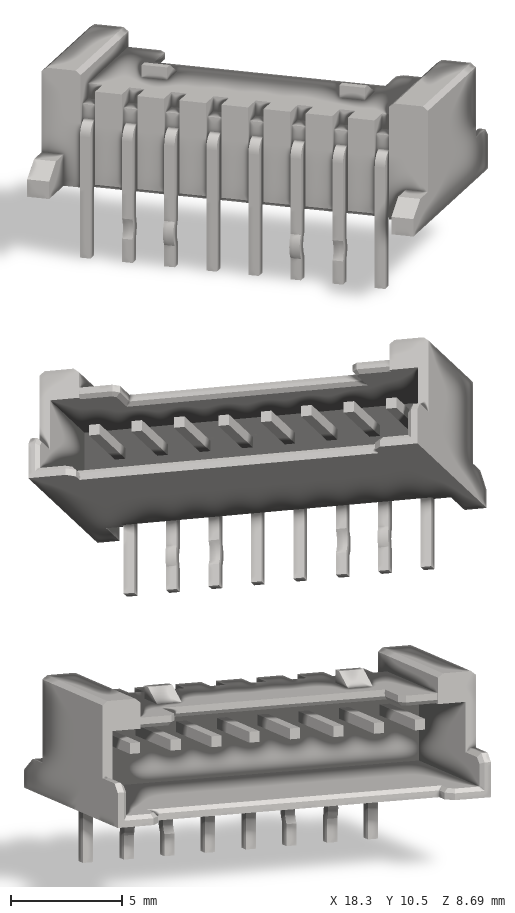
import cadquery as cq
import math


length = 18.3
roof_top = 4.6
roof_thickness = 0.5
cavity_top = roof_top - roof_thickness
floor_thickness = 0.5
wall = 0.5
rear_wall = 1.5
roof_depth = 6.7
roof_notch_half = 5.47
roof_notch_front = 4.96
roof_corner_chamfer = 0.27
mouth_chamfer = 0.18

tray_depth = 8.45
tray_mid_depth = 7.52
tray_tab_half = 7.03
tray_chamfer = 0.37
tray_wall_top = 1.98

post_width = 1.85
post_depth = 6.75
post_top = 5.49
post_chamfer_x = 0.24
post_chamfer_z = 0.18
leg_width = 1.05
leg_length = 2.05
leg_flat = 1.08
leg_top = 1.48
leg_tip_height = 0.82

latch_offset = 4.68
latch_width = 1.2
latch_rear = 2.62
latch_crest = 3.0
latch_front = 4.03
latch_top = 5.2

pin_count = 8
pitch = 2.0
pin = 0.5
pin_front = -0.31
pin_top = 3.2
pin_bottom = -3.2
bend_inner_radius = 0.18
long_tip = 5.44
short_tip = 5.12
short_pins = (3, 4)
outward_kinked_pins = (2, 5)
inward_kinked_pins = (1, 6)
kink_center = -1.63
outward_kink_length = 1.13
outward_kink_bow = 0.18
inward_kink_length = 0.95
inward_kink_bow = 0.11

slot_width = 0.73
slot_depth = 0.25
slot_window_depth = 1.06
slot_window_bottom = 3.88
rib_bottom = 0.2

half_length = length / 2
post_inner = half_length - post_width
cavity_half = half_length - wall
pin_positions = [(i - (pin_count - 1) / 2) * pitch for i in range(pin_count)]


def block(x0, x1, y0, y1, z0, z1):
    """Box given by its limits along each axis."""
    return cq.Workplane("XY").box(x1 - x0, y1 - y0, z1 - z0, centered=False).translate((x0, y0, z0))


def side_profile(points, x0, width):
    """Closed (Y, Z) outline extruded along +X from x0."""
    return cq.Workplane("YZ").polyline(points).close().extrude(width).translate((x0, 0, 0))


def on_both_ends(shape):
    """Shape joined with its mirror image across X = 0."""
    return shape.union(shape.mirror("YZ"))


def make_floor():
    """Tray floor with two forward tabs and a lead-in chamfer on its mating edge."""
    shoulder = tray_depth - tray_chamfer
    tab_corner = tray_tab_half + tray_chamfer
    floor = (
        cq.Workplane("XY")
        .polyline([
            (-half_length, 0), (half_length, 0), (half_length, tray_depth), (tab_corner, tray_depth),
            (tray_tab_half, shoulder), (tray_tab_half, tray_mid_depth),
            (-tray_tab_half, tray_mid_depth), (-tray_tab_half, shoulder),
            (-tab_corner, tray_depth), (-half_length, tray_depth),
        ])
        .close()
        .extrude(floor_thickness)
    )
    return floor.faces(">Z").edges("not(<X or >X or <Y)").chamfer(mouth_chamfer)


def make_side_wall():
    """Low side wall beside the tray, its inner mating edges chamfered."""
    profile = [
        (0, 0), (tray_depth, 0), (tray_depth, tray_wall_top - tray_chamfer),
        (tray_depth - tray_chamfer, tray_wall_top), (0, tray_wall_top),
    ]
    side = side_profile(profile, -half_length, wall)
    inner = side.faces(">X").edges("not(<Z or <Y)")
    return inner.chamfer(mouth_chamfer)


def make_post():
    """Tall end post with both long top edges bevelled."""
    left, right = -half_length, -post_inner
    return (
        cq.Workplane("XZ")
        .polyline([
            (left, 0), (right, 0), (right, post_top - post_chamfer_z),
            (right - post_chamfer_x, post_top), (left + post_chamfer_x, post_top),
            (left, post_top - post_chamfer_z),
        ])
        .close()
        .extrude(-post_depth)
    )


def make_leg():
    """Mounting leg running rearward from the outer foot of the post."""
    profile = [
        (0, 0), (-leg_length, 0), (-leg_length, leg_tip_height), (-leg_flat, leg_top), (0, leg_top),
    ]
    return side_profile(profile, -half_length, leg_width)


def make_roof():
    """Roof plate with a wide notch in its mating edge and a lead-in chamfer underneath."""
    corner_x = roof_notch_half + roof_corner_chamfer
    corner_y = roof_depth - roof_corner_chamfer
    roof = (
        cq.Workplane("XY")
        .workplane(offset=cavity_top)
        .polyline([
            (-post_inner, 0), (post_inner, 0), (post_inner, roof_depth), (corner_x, roof_depth),
            (roof_notch_half, corner_y), (roof_notch_half, roof_notch_front),
            (-roof_notch_half, roof_notch_front), (-roof_notch_half, corner_y),
            (-corner_x, roof_depth), (-post_inner, roof_depth),
        ])
        .close()
        .extrude(roof_thickness)
    )
    return roof.faces("<Z").edges("not(<X or >X or <Y)").chamfer(mouth_chamfer)


def make_latch():
    """Wedge on the roof rising from the mating side."""
    profile = [
        (latch_rear, cavity_top), (latch_front, cavity_top), (latch_front, roof_top),
        (latch_crest, latch_top), (latch_rear, latch_top),
    ]
    return side_profile(profile, -latch_offset - latch_width / 2, latch_width)


def make_slot(x):
    """Shallow pin channel topped by a deeper window through the roof."""
    left, right = max(x - slot_width / 2, -post_inner), min(x + slot_width / 2, post_inner)
    channel = block(left, right, 0, slot_depth, 0, roof_top)
    window = block(left, right, 0, slot_window_depth, slot_window_bottom, roof_top)
    return channel.union(window)


def make_pin(x, tip, kink_length, kink_bow):
    """Square bent pin; a negative kink_bow bows its tail toward -Y."""
    back = pin_front + pin
    bend_y = back + bend_inner_radius
    bend_z = pin_top - pin - bend_inner_radius
    outer_radius = bend_inner_radius + pin
    diagonal = math.sqrt(0.5)
    kink_top = kink_center + kink_length / 2
    kink_bottom = kink_center - kink_length / 2

    path = cq.Workplane("YZ").moveTo(tip, pin_top).lineTo(bend_y, pin_top)
    path = path.threePointArc(
        (bend_y - outer_radius * diagonal, bend_z + outer_radius * diagonal), (pin_front, bend_z)
    )
    if kink_bow:
        path = path.lineTo(pin_front, kink_top)
        path = path.threePointArc((pin_front + kink_bow, kink_center), (pin_front, kink_bottom))
    path = path.lineTo(pin_front, pin_bottom).lineTo(back, pin_bottom)
    if kink_bow:
        path = path.lineTo(back, kink_bottom)
        path = path.threePointArc((back + kink_bow, kink_center), (back, kink_top))
    path = path.lineTo(back, bend_z).threePointArc(
        (bend_y - bend_inner_radius * diagonal, bend_z + bend_inner_radius * diagonal),
        (bend_y, pin_top - pin),
    )
    path = path.lineTo(tip, pin_top - pin).close()
    return path.extrude(pin / 2, both=True).translate((x, 0, 0))


cavity = block(-cavity_half, cavity_half, rear_wall, tray_depth, floor_thickness, cavity_top)
result = on_both_ends(make_post()).cut(cavity)
result = result.union(block(-post_inner, post_inner, 0, rear_wall, 0, roof_top))
result = result.union(make_roof())
result = result.union(make_floor())
result = result.union(on_both_ends(make_side_wall()))
result = result.union(on_both_ends(make_leg()))
result = result.union(on_both_ends(make_latch()))

result = result.cut(block(-post_inner, post_inner, 0, slot_depth, 0, rib_bottom))
for x in pin_positions:
    result = result.cut(make_slot(x))

for i, x in enumerate(pin_positions):
    tip = short_tip if i in short_pins else long_tip
    if i in outward_kinked_pins:
        kink_length, kink_bow = outward_kink_length, -outward_kink_bow
    elif i in inward_kinked_pins:
        kink_length, kink_bow = inward_kink_length, inward_kink_bow
    else:
        kink_length, kink_bow = 0, 0
    result = result.union(make_pin(x, tip, kink_length, kink_bow))